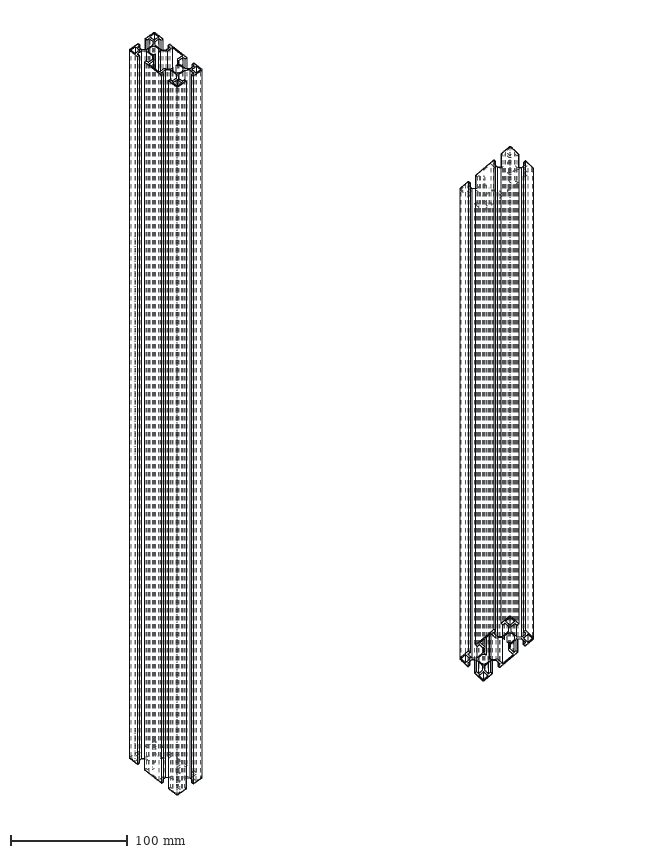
import cadquery as cq

length = 900.0
length_in_cells = 30
cell_size = length / length_in_cells
width = 2 * cell_size
depth = cell_size
cell_offset = cell_size / 2
corner_radius = 1.0

slot_opening = 8.4
slot_inner_width = 13.5
slot_floor_width = 7.0
slot_depth = 10.0
slot_wall_depth = 7.0
lip_thickness = 2.25

pocket_size = 5.0
outer_wall = 1.1

bore_diameter = 9.0

hollow_end_width = 13.0
hollow_middle_width = 22.0
hollow_shoulder_height = 8.5
hollow_slope_height = 16.0


def slot_cutter():
    """T-slot open at y = 0 and running down into -Y, with sloped sides at the floor."""
    right_side = [
        (slot_opening / 2, 0),
        (slot_opening / 2, -lip_thickness),
        (slot_inner_width / 2, -lip_thickness),
        (slot_inner_width / 2, -slot_wall_depth),
        (slot_floor_width / 2, -slot_depth),
    ]
    left_side = [(-x, y) for x, y in reversed(right_side)]
    return cq.Workplane("XY").polyline(right_side + left_side).close().extrude(length)


def hollow_cutter():
    """Central hollow: wide between the cores, narrow towards both wide faces."""
    upper_right = [
        (hollow_middle_width / 2, hollow_shoulder_height / 2),
        (hollow_end_width / 2, hollow_slope_height / 2),
        (hollow_end_width / 2, depth / 2 - outer_wall),
    ]
    upper_left = [(-x, y) for x, y in reversed(upper_right)]
    upper_half = upper_right + upper_left
    lower_half = [(-x, -y) for x, y in upper_half]
    return cq.Workplane("XY").polyline(upper_half + lower_half).close().extrude(length)


def pocket_cutters():
    """Square pocket behind each outer corner of the profile."""
    inset = outer_wall + pocket_size / 2
    return (
        cq.Workplane("XY")
        .rect(width - 2 * inset, depth - 2 * inset, forConstruction=True)
        .vertices()
        .rect(pocket_size, pocket_size)
        .extrude(length)
    )


def bore_cutters():
    """Round bore on the axis of each cell."""
    return (
        cq.Workplane("XY")
        .pushPoints([(-cell_offset, 0), (cell_offset, 0)])
        .circle(bore_diameter / 2)
        .extrude(length)
    )


result = cq.Workplane("XY").rect(width, depth).extrude(length).edges("|Z").fillet(corner_radius)

wide_face_slot = slot_cutter().translate((0, depth / 2, 0))
narrow_face_slot = slot_cutter().translate((0, width / 2, 0))
for side in (-1, 1):
    upper_slot = wide_face_slot.translate((side * cell_offset, 0, 0))
    lower_slot = upper_slot.mirror("XZ")
    end_slot = narrow_face_slot.rotate((0, 0, 0), (0, 0, 1), side * 90)
    result = result.cut(upper_slot).cut(lower_slot).cut(end_slot)

result = result.cut(pocket_cutters()).cut(bore_cutters()).cut(hollow_cutter())